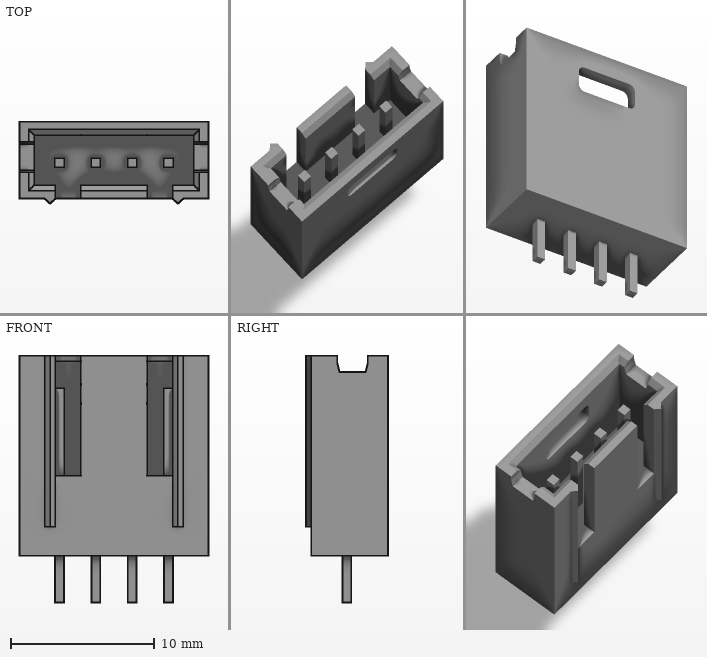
import cadquery as cq

BODY_WIDTH = 13.21
BODY_DEPTH = 5.38
BODY_HEIGHT = 13.97

SIDE_WALL = 1.04
FRONT_WALL = 0.95
BACK_WALL = 0.95
CAVITY_DEPTH = 8.37
LEAD_IN = 0.4
cavity_floor = BODY_HEIGHT - CAVITY_DEPTH
cavity_width = BODY_WIDTH - 2 * SIDE_WALL
cavity_length = BODY_DEPTH - FRONT_WALL - BACK_WALL
cavity_center_y = FRONT_WALL + cavity_length / 2

TONGUE_WIDTH = 4.62
SLIT_WIDTH = 1.78
slit_center_x = (TONGUE_WIDTH + SLIT_WIDTH) / 2

RIB_PROJECTION = 0.36
RIB_WIDTH = 0.76
RIB_LENGTH = 11.95
rib_center_x = (TONGUE_WIDTH + RIB_WIDTH) / 2 + SLIT_WIDTH

NOTCH_CENTER_Y = 2.9
NOTCH_TOP_WIDTH = 2.12
NOTCH_BOTTOM_WIDTH = 1.81
NOTCH_DEPTH = 1.12
NOTCH_STRAIGHT_DEPTH = 0.52

WINDOW_HEIGHT = 2.07
WINDOW_TOP_GAP = 1.64
WINDOW_RADIUS = 0.5
window_center_z = BODY_HEIGHT - WINDOW_TOP_GAP - WINDOW_HEIGHT / 2

PIN_COUNT = 4
PIN_PITCH = 2.54
PIN_SIZE = 0.64
PIN_CENTER_Y = 2.5
PIN_TOP_GAP = 2.28
PIN_TAIL = 3.28


def block(width, depth, height, x, y, z):
    """Box centred at x, y with its underside at z."""
    return cq.Workplane("XY").box(width, depth, height, centered=(True, True, False)).translate((x, y, z))


def make_cavity():
    cavity = block(cavity_width, cavity_length, CAVITY_DEPTH, 0, cavity_center_y, cavity_floor)
    lead_in = (
        cq.Workplane("XY", origin=(0, cavity_center_y, BODY_HEIGHT - LEAD_IN))
        .rect(cavity_width, cavity_length)
        .workplane(offset=LEAD_IN)
        .rect(cavity_width + 2 * LEAD_IN, cavity_length + 2 * LEAD_IN)
        .loft(ruled=True)
    )
    return cavity.union(lead_in)


def make_slit(side):
    return block(SLIT_WIDTH, FRONT_WALL, CAVITY_DEPTH, side * slit_center_x, FRONT_WALL / 2, cavity_floor)


def make_rib(side):
    center_x = side * rib_center_x
    return (
        cq.Workplane("XY", origin=(0, 0, BODY_HEIGHT - RIB_LENGTH))
        .moveTo(center_x - RIB_WIDTH / 2, 0)
        .lineTo(center_x, -RIB_PROJECTION)
        .lineTo(center_x + RIB_WIDTH / 2, 0)
        .close()
        .extrude(RIB_LENGTH)
    )


def make_side_notches():
    half_top = NOTCH_TOP_WIDTH / 2
    half_bottom = NOTCH_BOTTOM_WIDTH / 2
    return (
        cq.Workplane("YZ", origin=(0, NOTCH_CENTER_Y, BODY_HEIGHT))
        .moveTo(-half_top, 0)
        .lineTo(-half_top, -NOTCH_STRAIGHT_DEPTH)
        .lineTo(-half_bottom, -NOTCH_DEPTH)
        .lineTo(half_bottom, -NOTCH_DEPTH)
        .lineTo(half_top, -NOTCH_STRAIGHT_DEPTH)
        .lineTo(half_top, 0)
        .close()
        .extrude(BODY_WIDTH / 2, both=True)
    )


def make_back_window():
    window_y = BODY_DEPTH - BACK_WALL / 2
    window = block(TONGUE_WIDTH, BACK_WALL, WINDOW_HEIGHT, 0, window_y, window_center_z - WINDOW_HEIGHT / 2)
    return window.edges("|Y").fillet(WINDOW_RADIUS)


def make_pin(index):
    x = (index - (PIN_COUNT - 1) / 2) * PIN_PITCH
    length = BODY_HEIGHT - PIN_TOP_GAP + PIN_TAIL
    return block(PIN_SIZE, PIN_SIZE, length, x, PIN_CENTER_Y, -PIN_TAIL)


result = block(BODY_WIDTH, BODY_DEPTH, BODY_HEIGHT, 0, BODY_DEPTH / 2, 0)
result = result.cut(make_cavity()).cut(make_side_notches()).cut(make_back_window())
for side in (-1, 1):
    result = result.cut(make_slit(side)).union(make_rib(side))
for index in range(PIN_COUNT):
    result = result.union(make_pin(index))